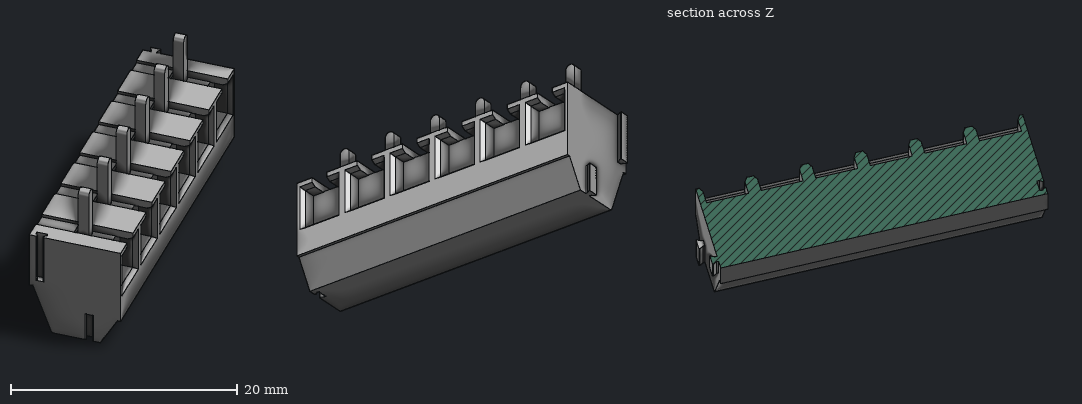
import cadquery as cq

pole_count = 6
pitch = 5.0
body_width = 8.6
body_length = pole_count * pitch
body_height = 10.15
overall_height = 14.5

left_step_z = 4.7
left_step_depth = 0.35
left_break_x = 2.05
left_break_z = 0.18
bottom_left_x = 2.2
bottom_right_x = 6.7
right_step_z = 2.75
right_step_depth = 0.3

slot_width = 1.6
shallow_depth = 0.28
deep_depth = 0.7
deep_start_x = 3.5

opening_size = 3.8
opening_back_x = 6.95
opening_top_z = body_height - 0.75
mouth_length = 0.45
mouth_flare = 0.27

pin_size = 1.0
pin_center_x = 4.4

rail_depth = 0.6
rail_shoulder_y = 0.5
rail_neck_y = 0.2
rail_tip_width = 0.94
rail_shoulder_width = 0.98
rail_neck_width = 0.6
rail_root_width = 0.54

groove_shoulder_y = 0.4
groove_neck_y = 0.1
groove_width = 1.0
groove_neck_width = 0.54
groove_mouth_width = 0.78

upper_rail_x = 1.02
upper_rail_length = 4.8
lower_rail_x = 5.64
lower_rail_length = 2.8


def make_body():
    """Extrude the body cross-section from y = 0 to the +Y end."""
    outline = [
        (0, body_height),
        (0, left_step_z),
        (left_step_depth, left_step_z),
        (left_break_x, left_break_z),
        (bottom_left_x, 0),
        (bottom_right_x, 0),
        (body_width - right_step_depth, right_step_z),
        (body_width, right_step_z),
        (body_width, body_height),
    ]
    return cq.Workplane("XZ").polyline(outline).close().extrude(-body_length)


def make_recess(start_x, y, bottom_z, width, height):
    """Box-shaped cut from start_x out through the +X face, centred on y."""
    length = body_width - start_x
    return (
        cq.Workplane("XY")
        .box(length, width, height, centered=(False, True, False))
        .translate((start_x, y, bottom_z))
    )


def make_slot(y):
    """Shallow slot over the full width, with a deeper part that breaks into the wire opening."""
    shallow = make_recess(0, y, body_height - shallow_depth, slot_width, shallow_depth)
    deep = make_recess(deep_start_x, y, body_height - deep_depth, slot_width, deep_depth)
    link_height = body_height - opening_top_z
    link = make_recess(opening_back_x, y, opening_top_z, slot_width, link_height)
    return shallow.union(deep).union(link)


def make_wire_opening(y):
    """Square pocket in the +X face whose mouth flares outwards on all four sides."""
    center_z = opening_top_z - opening_size / 2
    mouth_size = opening_size + 2 * mouth_flare
    bottom_z = opening_top_z - opening_size
    pocket = make_recess(opening_back_x, y, bottom_z, opening_size, opening_size)
    mouth = (
        cq.Workplane("YZ", origin=(body_width - mouth_length, y, center_z))
        .rect(opening_size, opening_size)
        .workplane(offset=mouth_length)
        .rect(mouth_size, mouth_size)
        .loft()
    )
    return pocket.union(mouth)


def make_pin(y):
    """Square pin standing on the deep slot floor, with a half-round tip across Y."""
    base_z = body_height - deep_depth
    radius = pin_size / 2
    return (
        cq.Workplane("YZ", origin=(pin_center_x - radius, 0, 0))
        .moveTo(y - radius, base_z)
        .lineTo(y + radius, base_z)
        .lineTo(y + radius, overall_height - radius)
        .threePointArc((y, overall_height), (y - radius, overall_height - radius))
        .close()
        .extrude(pin_size)
    )


def make_dovetail(half_outline, x, root_y, base_z, length):
    """Upright bar whose plan is the (half width, y) outline mirrored about its centre."""
    mirrored = [(-half_width, y) for half_width, y in reversed(half_outline)]
    return (
        cq.Workplane("XY", origin=(x, root_y, base_z))
        .polyline(half_outline + mirrored)
        .close()
        .extrude(length)
    )


result = make_body()

for pole in range(pole_count):
    pole_y = (pole + 0.5) * pitch
    result = result.cut(make_wire_opening(pole_y))
    result = result.cut(make_slot(pole_y))
    result = result.union(make_pin(pole_y))

rail_half_outline = [
    (rail_root_width / 2, 0),
    (rail_neck_width / 2, rail_neck_y),
    (rail_shoulder_width / 2, rail_shoulder_y),
    (rail_tip_width / 2, rail_depth),
]
groove_half_outline = [
    (groove_mouth_width / 2, 0),
    (groove_neck_width / 2, groove_neck_y),
    (groove_width / 2, groove_shoulder_y),
    (groove_width / 2, rail_depth),
]
dovetails = [
    (upper_rail_x, body_height - upper_rail_length, upper_rail_length),
    (lower_rail_x, 0, lower_rail_length),
]
for rail_x, rail_base_z, rail_length in dovetails:
    result = result.cut(make_dovetail(groove_half_outline, rail_x, 0, rail_base_z, rail_length))
    result = result.union(make_dovetail(rail_half_outline, rail_x, body_length, rail_base_z, rail_length))